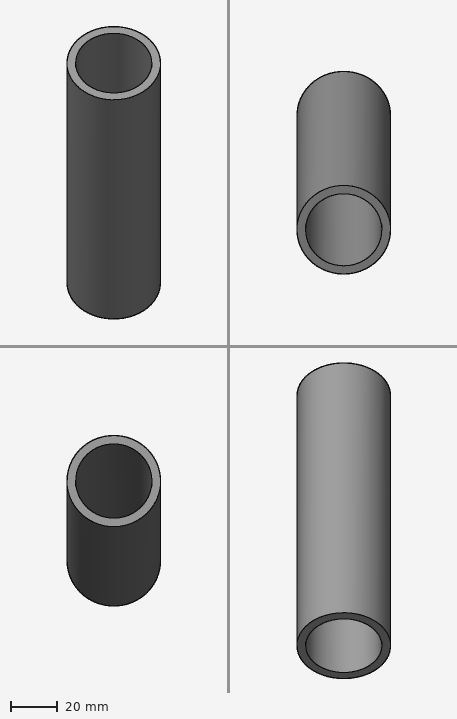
import cadquery as cq

outer_diameter = 40.0
wall_thickness = 3.75
length = 150.0

outer_radius = outer_diameter / 2
bore_radius = outer_radius - wall_thickness

result = (
    cq.Workplane("XY")
    .circle(outer_radius)
    .circle(bore_radius)
    .extrude(length)
)